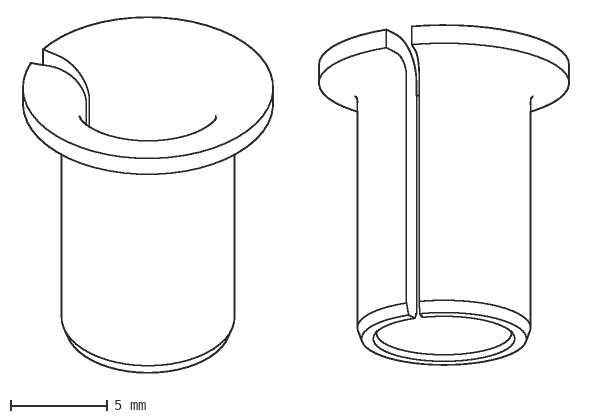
import cadquery as cq
import math

bore_radius = 3.5
wall = 1.0
flange_radius = 6.5
length = 15.0

outer_flare_radius = 1.0
inner_flare_radius = outer_flare_radius + wall
tube_radius = bore_radius + wall
flare_center_radius = bore_radius + inner_flare_radius
flare_center_z = length - inner_flare_radius
flange_underside_z = length - wall

lead_in_height = 0.6
lead_in_angle = 20.0
lead_in_depth = lead_in_height * math.tan(math.radians(lead_in_angle))

bore_chamfer_height = 0.3
bore_chamfer_angle = 30.0
bore_chamfer_depth = bore_chamfer_height * math.tan(math.radians(bore_chamfer_angle))

slit_half_angle = 10.0
slit_apex_x = -2.5


def flare_midpoint(radius):
    """Return the (-r, z) point halfway along a quarter flare arc."""
    offset = radius * math.sqrt(0.5)
    return (-flare_center_radius + offset, flare_center_z + offset)


def make_bushing():
    """Revolve the wall section, drawn on the -X side, around Z."""
    section = (
        cq.Workplane("XZ")
        .moveTo(-bore_radius - bore_chamfer_depth, 0)
        .lineTo(-tube_radius + lead_in_depth, 0)
        .lineTo(-tube_radius, lead_in_height)
        .lineTo(-tube_radius, flare_center_z)
        .threePointArc(flare_midpoint(outer_flare_radius), (-flare_center_radius, flange_underside_z))
        .lineTo(-flange_radius, flange_underside_z)
        .lineTo(-flange_radius, length)
        .lineTo(-flare_center_radius, length)
        .threePointArc(flare_midpoint(inner_flare_radius), (-bore_radius, flare_center_z))
        .lineTo(-bore_radius, bore_chamfer_height)
        .close()
    )
    return section.revolve(360, (0, 0, 0), (0, 1, 0))


def make_slit():
    """Wedge that widens outward from its apex inside the bore."""
    outer_x = -(flange_radius + wall)
    half_width = (slit_apex_x - outer_x) * math.tan(math.radians(slit_half_angle))
    outline = [(slit_apex_x, 0), (outer_x, half_width), (outer_x, -half_width)]
    return cq.Workplane("XY").polyline(outline).close().extrude(length)


result = make_bushing().cut(make_slit())